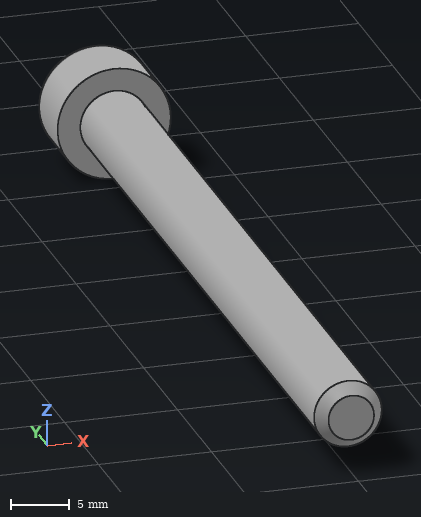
import cadquery as cq

total_length = 76.0
head_diameter = 10.0
head_length = 6.0
head_edge_radius = 0.6
shank_diameter = 6.0
tip_chamfer = 1.0


def make_shank():
    """Full-length shank with a chamfered tip at the -Y end."""
    shank = cq.Workplane("XZ").circle(shank_diameter / 2).extrude(total_length)
    return shank.faces("<Y").chamfer(tip_chamfer)


def make_head():
    """Cylindrical head with a rounded outer edge on its +Y end."""
    head = cq.Workplane("XZ").circle(head_diameter / 2).extrude(head_length)
    return head.faces(">Y").edges().fillet(head_edge_radius)


result = make_shank().union(make_head())